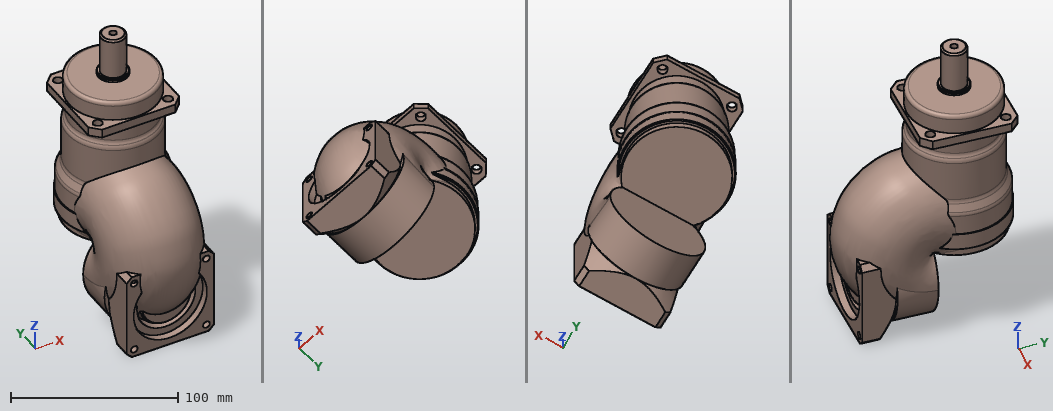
import cadquery as cq
import math

shaft_top = 187.9
shaft_radius = 8.0
shaft_chamfer = 1.1
collar_top = 160.0
collar_radius = 10.0
collar_chamfer = 0.47
pilot_top = 158.2
pilot_radius = 30
pilot_rounding = 2.5
mount_top = 145.2
mount_bottom = 139.2
neck_radius = 29.0
neck_bottom = 129.3
barrel_radius = 31.2
barrel_top = 123.3
barrel_bottom = 96.0
shoulder_cone_top = 93.2
shoulder_cone_bottom = 88.5
shoulder_bottom = 86.0
shoulder_angle = 28
housing_radius = 35.0
band_radius = 35.5
band_top = 72.5
band_bottom = 60.7
band_chamfer = 0.8
foot_radius = 33.3

mount_width = 62.4
mount_corner = 6.0
mount_hole_radius = 3.0
mount_hole_pitch = 48.3

shaft_bore_radius = 2.3
shaft_bore_depth = 15
key_width = 5.0
key_depth = 3.0
key_length = 25.0
key_middle = 173.2

elbow_radius = 33.0
bend_y = -22.0
bend_z = elbow_radius - bend_y
bend_angle = 270
outlet_z = bend_z + bend_y

flange_width = 60.1
flange_z = flange_width / 2
flange_corner = 3.5
flange_face = -69.7
flange_back = -48.1
flange_hole_radius = 2.3
flange_hole_pitch = 49.6
flange_hole_depth = 9.4
recess_radius = 25.2
recess_depth = 5.0
groove_radius = 20.1
groove_depth = 9.4
hub_radius = 17.5
hub_chamfer = 1.0

drill_half_angle = 59


def square_corners(pitch):
    half = pitch / 2
    return [(x, y) for x in (-half, half) for y in (-half, half)]


def drill(radius, depth):
    """Blind drill hole shape running from the origin towards -Z, with a conical end."""
    tip = depth + radius / math.tan(math.radians(drill_half_angle))
    outline = cq.Workplane("XZ").polyline([(0, 0), (radius, 0), (radius, -depth), (0, -tip)]).close()
    return outline.revolve(360, (0, 0), (0, 1))


def make_column():
    blend_radius = (neck_radius + barrel_radius) / 2
    blend_z = (neck_bottom + barrel_top) / 2
    half_slope = math.tan(math.radians(shoulder_angle / 2))
    cone_top_radius = barrel_radius + (barrel_bottom - shoulder_cone_top) * half_slope
    cone_bottom_radius = housing_radius - (shoulder_cone_bottom - shoulder_bottom) * half_slope
    round_mid = pilot_rounding * (1 - math.sqrt(0.5))
    outline = (
        cq.Workplane("XZ")
        .moveTo(0, shaft_top)
        .lineTo(shaft_radius - shaft_chamfer, shaft_top)
        .lineTo(shaft_radius, shaft_top - shaft_chamfer)
        .lineTo(shaft_radius, collar_top)
        .lineTo(collar_radius - collar_chamfer, collar_top)
        .lineTo(collar_radius, collar_top - collar_chamfer)
        .lineTo(collar_radius, pilot_top)
        .lineTo(pilot_radius - pilot_rounding, pilot_top)
        .threePointArc(
            (pilot_radius - round_mid, pilot_top - round_mid),
            (pilot_radius, pilot_top - pilot_rounding),
        )
        .lineTo(pilot_radius, mount_bottom)
        .lineTo(neck_radius, mount_bottom)
        .lineTo(neck_radius, neck_bottom)
        .tangentArcPoint((blend_radius, blend_z), relative=False)
        .tangentArcPoint((barrel_radius, barrel_top), relative=False)
        .lineTo(barrel_radius, barrel_bottom)
        .tangentArcPoint((cone_top_radius, shoulder_cone_top), relative=False)
        .lineTo(cone_bottom_radius, shoulder_cone_bottom)
        .tangentArcPoint((housing_radius, shoulder_bottom), relative=False)
        .lineTo(housing_radius, band_top)
        .lineTo(band_radius, band_top)
        .lineTo(band_radius, band_bottom + band_chamfer)
        .lineTo(band_radius - band_chamfer, band_bottom)
        .lineTo(foot_radius, band_bottom)
        .lineTo(foot_radius, bend_z)
        .lineTo(0, bend_z)
        .close()
    )
    return outline.revolve(360, (0, 0), (0, 1))


def make_mount_plate():
    plate = (
        cq.Workplane("XY")
        .workplane(offset=mount_bottom)
        .rect(mount_width, mount_width)
        .extrude(mount_top - mount_bottom)
        .edges("|Z")
        .chamfer(mount_corner)
    )
    holes = plate.faces(">Z").workplane().pushPoints(square_corners(mount_hole_pitch))
    return holes.hole(2 * mount_hole_radius)


def make_elbow():
    half_chord = math.sqrt(elbow_radius**2 - bend_y**2)
    bend = (
        cq.Workplane("XY")
        .workplane(offset=bend_z)
        .moveTo(-half_chord, bend_y)
        .threePointArc((0, elbow_radius), (half_chord, bend_y))
        .close()
        .revolve(bend_angle, (0, bend_y), (1, bend_y))
    )
    tube = (
        cq.Workplane("XZ", origin=(0, bend_y, outlet_z))
        .circle(elbow_radius)
        .extrude(bend_y - flange_back)
    )
    return bend.union(tube)


def make_flange():
    """Square flange with its recess, built along Z with the flange face at Z = 0."""
    thickness = flange_back - flange_face
    half_width = flange_width / 2
    block = cq.Workplane("XY").rect(flange_width, flange_width).extrude(-thickness)
    block = block.edges("|Z").chamfer(flange_corner)

    turned = cq.Workplane("XY").workplane(offset=-thickness).circle(half_width)
    turned = turned.workplane(offset=thickness).circle(half_width + thickness).loft()
    block = block.intersect(turned)

    recess = cq.Workplane("XY").circle(recess_radius).extrude(-recess_depth)
    groove_outline = cq.Workplane("XZ").polyline(
        [
            (groove_radius, -recess_depth),
            (groove_radius, -recess_depth - groove_depth),
            (hub_radius, -recess_depth - hub_chamfer),
            (hub_radius - hub_chamfer, -recess_depth),
        ]
    )
    groove = groove_outline.close().revolve(360, (0, 0), (0, 1))
    flange = block.cut(recess).cut(groove)
    for x, y in square_corners(flange_hole_pitch):
        flange = flange.cut(drill(flange_hole_radius, flange_hole_depth).translate((x, y, 0)))
    return flange.rotate((0, 0, 0), (1, 0, 0), 90).translate((0, flange_face, flange_z))


def make_keyway():
    """Round-ended keyway in the +Y side of the shaft."""
    return (
        cq.Workplane("XZ", origin=(0, shaft_radius - key_depth, key_middle))
        .slot2D(key_length, key_width, 90)
        .extrude(-shaft_radius)
    )


shaft_bore = drill(shaft_bore_radius, shaft_bore_depth).translate((0, 0, shaft_top))
result = make_flange().union(make_elbow()).union(make_column()).union(make_mount_plate())
result = result.cut(shaft_bore).cut(make_keyway())